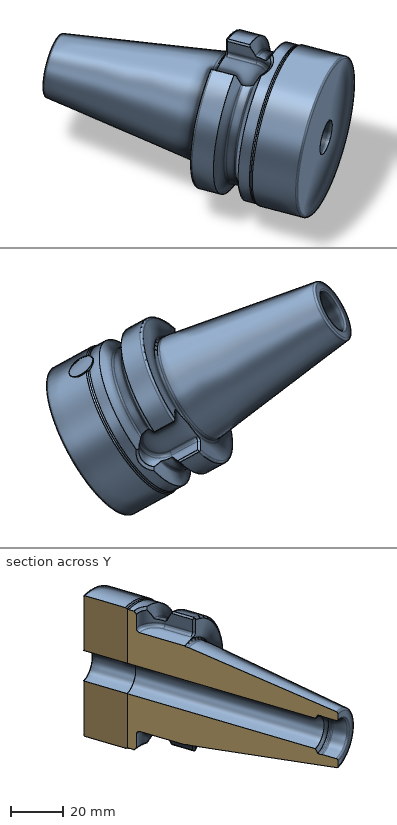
import cadquery as cq
import math

total_length = 111.4
bore_radius = 6.8

gauge_x = 65.4
gauge_diameter = 44.5
gauge_radius = gauge_diameter / 2
taper_ratio = 7 / 24
tip_radius = gauge_radius - gauge_x * taper_ratio / 2
tip_round = 0.9
neck_fillet = 0.9

counterbore_diameter = 17.0
counterbore_radius = counterbore_diameter / 2
counterbore_depth = 6.9
relief_radius = 8.7
relief_flank_length = 0.7
relief_floor_length = 0.7
bore_cone_length = 1.0
mouth_round = 0.8

flange_face_x = 67.3
flange_radius = 31.5
flange_edge_round = 0.9
gauge_to_groove = 16.6
groove_center_x = gauge_x + gauge_to_groove
groove_floor_radius = 26.5
groove_floor_width = 4.3
groove_half_floor = groove_floor_width / 2
groove_wall_angle = 30
groove_fillet = 0.9

joint_x = 92.4
joint_radius = 31.7
joint_chamfer_length = 0.7
nose_diameter = 64.0
nose_radius = nose_diameter / 2
nose_edge_round = 0.7

keyway_half_width = 8.0
keyway_floor_z = 22.5
keyway_arc_x = 80.2
keyway_floor_fillet = 1.5
keyway_edge_chamfer = 0.9
keyway_end_chamfer = 1.1
cutter_overrun = 5.6
keyway_start_x = flange_face_x - cutter_overrun
keyway_top_z = flange_radius + cutter_overrun

plug_radius = 5.5
plug_depth = 4.5
plug_x = 95.1


def revolve_about_x(profile):
    """Full turn of an open half-profile, closed first, about the X axis."""
    return profile.close().revolve(360, (0, 0, 0), (1, 0, 0))


def make_turned_holder():
    """Holder as turned: taper, neck, flange and groove around the stepped bore."""
    groove_wall_run = (flange_radius - groove_floor_radius) * math.tan(math.radians(groove_wall_angle))
    groove_half_top = groove_half_floor + groove_wall_run
    relief_start_x = counterbore_depth + relief_flank_length
    relief_end_x = relief_start_x + relief_floor_length
    cone_start_x = relief_end_x + relief_flank_length
    profile = (
        cq.Workplane("XZ")
        .moveTo(0, counterbore_radius)
        .lineTo(0, tip_radius)
        .lineTo(gauge_x, gauge_radius)
        .lineTo(flange_face_x, gauge_radius)
        .lineTo(flange_face_x, flange_radius)
        .lineTo(groove_center_x - groove_half_top, flange_radius)
        .lineTo(groove_center_x - groove_half_floor, groove_floor_radius)
        .lineTo(groove_center_x + groove_half_floor, groove_floor_radius)
        .lineTo(groove_center_x + groove_half_top, flange_radius)
        .lineTo(joint_x - joint_chamfer_length, flange_radius)
        .lineTo(joint_x, joint_radius)
        .lineTo(joint_x, bore_radius)
        .lineTo(cone_start_x + bore_cone_length, bore_radius)
        .lineTo(cone_start_x, counterbore_radius)
        .lineTo(relief_end_x, relief_radius)
        .lineTo(relief_start_x, relief_radius)
        .lineTo(counterbore_depth, counterbore_radius)
    )
    return revolve_about_x(profile)


def circles_at(body, x, radius):
    """Circular edges of the given radius about the X axis, lying in the plane at x."""
    tolerance = 0.01

    def matches(edge):
        return (
            edge.geomType() == "CIRCLE"
            and abs(edge.Center().x - x) < tolerance
            and abs(edge.radius() - radius) < tolerance
        )

    return body.edges().filter(matches)


def round_holder_edges(body):
    """Round the tip, the neck corner, the flange rim and the groove corners."""
    body = circles_at(body, 0, tip_radius).fillet(tip_round)
    body = circles_at(body, 0, counterbore_radius).fillet(mouth_round)
    body = circles_at(body, flange_face_x, gauge_radius).fillet(neck_fillet)
    body = circles_at(body, flange_face_x, flange_radius).fillet(flange_edge_round)
    for side in (-1, 1):
        corner_x = groove_center_x + side * groove_half_floor
        body = circles_at(body, corner_x, groove_floor_radius).fillet(groove_fillet)
    return body


def make_slot_cutter():
    """Round-ended slot with a filleted floor, on the +Z side."""
    return (
        cq.Workplane("XY", origin=(0, 0, keyway_floor_z))
        .moveTo(keyway_start_x, -keyway_half_width)
        .lineTo(keyway_arc_x, -keyway_half_width)
        .threePointArc(
            (keyway_arc_x + keyway_half_width, 0), (keyway_arc_x, keyway_half_width)
        )
        .lineTo(keyway_start_x, keyway_half_width)
        .close()
        .extrude(keyway_top_z - keyway_floor_z)
        .faces("<Z")
        .edges()
        .fillet(keyway_floor_fillet)
    )


def make_slot_wire(x, half_width):
    """Closed outline across the slot at x, with rounded floor corners."""
    bottom = keyway_floor_z
    corner = keyway_floor_fillet
    return (
        cq.Workplane("YZ", origin=(x, 0, 0))
        .moveTo(-half_width, keyway_top_z)
        .lineTo(-half_width, bottom + corner)
        .radiusArc((-half_width + corner, bottom), -corner)
        .lineTo(half_width - corner, bottom)
        .radiusArc((half_width, bottom + corner), -corner)
        .lineTo(half_width, keyway_top_z)
        .close()
        .val()
    )


def make_mouth_cutter():
    """Flare that bevels the upright slot edges on the flange face."""
    face_half_width = keyway_half_width + keyway_edge_chamfer
    wide = make_slot_wire(flange_face_x, face_half_width)
    narrow = make_slot_wire(flange_face_x + keyway_edge_chamfer, keyway_half_width)
    return cq.Workplane("XY").add(cq.Solid.makeLoft([wide, narrow], True))


def make_rim_cutter():
    """45-degree flare that bevels the slot edges along the flange rim."""
    bevel_z = math.sqrt(flange_radius**2 - keyway_half_width**2) - keyway_edge_chamfer
    top_half_width = keyway_half_width + keyway_top_z - bevel_z
    return (
        cq.Workplane("YZ", origin=(flange_face_x, 0, 0))
        .moveTo(-keyway_half_width, bevel_z)
        .lineTo(keyway_half_width, bevel_z)
        .lineTo(top_half_width, keyway_top_z)
        .lineTo(-top_half_width, keyway_top_z)
        .close()
        .extrude(groove_center_x - flange_face_x)
    )


def slot_end_edges(body):
    """Edges where the round slot ends break through the flange behind the groove."""
    tolerance = 0.01
    arc_end_x = keyway_arc_x + keyway_half_width

    def matches(edge):
        points = [edge.startPoint(), edge.positionAt(0.5), edge.endPoint()]
        return all(
            groove_center_x < p.x < arc_end_x + tolerance
            and abs(math.hypot(p.y, p.z) - flange_radius) < tolerance
            and abs(math.hypot(p.x - keyway_arc_x, p.y) - keyway_half_width) < tolerance
            for p in points
        )

    return body.edges().filter(matches)


def cut_keyways(body):
    """Cut one keyway on +Z and one on -Z, with all their bevelled edges."""
    cutters = [make_slot_cutter(), make_mouth_cutter(), make_rim_cutter()]
    for angle in (0, 180):
        for cutter in cutters:
            body = body.cut(cutter.rotate((0, 0, 0), (1, 0, 0), angle))
    return slot_end_edges(body).chamfer(keyway_end_chamfer)


def make_nose():
    """Plain ring behind the flange, chamfered at the joint and rounded at the end."""
    profile = (
        cq.Workplane("XY")
        .moveTo(joint_x, bore_radius)
        .lineTo(joint_x, joint_radius)
        .lineTo(joint_x + joint_chamfer_length, nose_radius)
        .lineTo(total_length, nose_radius)
        .lineTo(total_length, bore_radius)
    )
    ring = revolve_about_x(profile)
    return circles_at(ring, total_length, nose_radius).fillet(nose_edge_round)


def make_plug():
    """Flat-topped round plug, its axis along Y."""
    return (
        cq.Workplane("XZ", origin=(plug_x, nose_radius, 0))
        .circle(plug_radius)
        .extrude(plug_depth)
    )


plug = make_plug()
holder = cut_keyways(round_holder_edges(make_turned_holder())).cut(plug)
nose = make_nose().cut(plug)

result = cq.Compound.makeCompound([holder.val(), nose.val(), plug.val()])